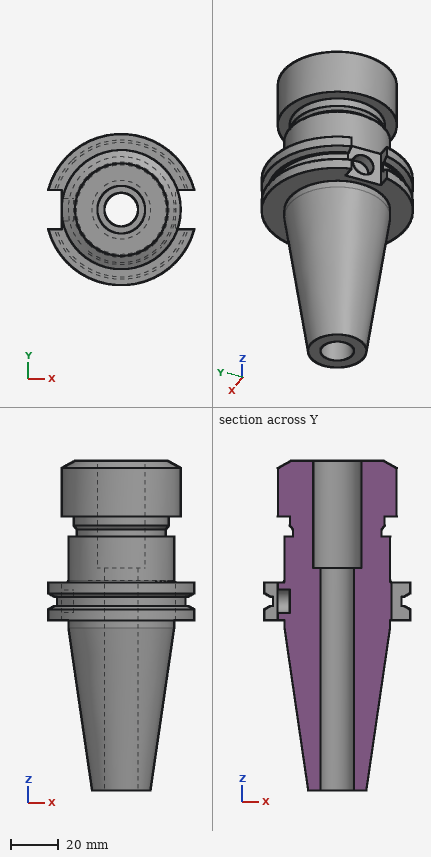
import cadquery as cq
import math


gauge_diameter = 44.45
shank_length = 68.25
taper_ratio = 7 / 24
shank_end_diameter = gauge_diameter - taper_ratio * shank_length

flange_diameter = 63.5
flange_bottom = 3.175
flange_width = 15.875
flange_top = flange_bottom + flange_width
groove_center = flange_bottom + flange_width / 2
groove_floor_diameter = 56.4
groove_shoulder_diameter = 58.4
groove_floor_width = 3.8
groove_flank_angle = 30
groove_flank_depth = (flange_diameter - groove_shoulder_diameter) / 2
groove_flank_width = groove_flank_depth * math.tan(math.radians(groove_flank_angle))
groove_floor_half = groove_floor_width / 2
groove_mouth_half = groove_floor_half + groove_flank_width

body_diameter = 44.45
body_top = 38.3
body_foot_radius = 0.8
neck_diameter = 37.5

projection = 70.1
nut_diameter = 50
nut_face_diameter = 38.8
nut_bevel_height = 3.1
nut_bottom = 46.6
nut_skirt_diameter = 40
nut_skirt_bottom = 42.8
nut_skirt_bevel_height = 1.5

through_diameter = 14
collet_bore_diameter = 20
collet_bore_depth = 45

slot_width = 16.38
deep_slot_floor = 22.8
shallow_slot_floor = 25
index_hole_diameter = 9.525
index_hole_depth = 5


def make_turned_body():
    """Revolve the outer half-profile, drawn from the shank end up to the nut face."""
    gauge_radius = gauge_diameter / 2
    flange_radius = flange_diameter / 2
    shoulder_radius = groove_shoulder_diameter / 2
    groove_radius = groove_floor_diameter / 2
    body_radius = body_diameter / 2
    neck_radius = neck_diameter / 2
    skirt_radius = nut_skirt_diameter / 2
    nut_radius = nut_diameter / 2
    return (
        cq.Workplane("XZ")
        .moveTo(0, -shank_length)
        .lineTo(shank_end_diameter / 2, -shank_length)
        .lineTo(gauge_radius, 0)
        .lineTo(gauge_radius, flange_bottom)
        .lineTo(flange_radius, flange_bottom)
        .lineTo(flange_radius, groove_center - groove_mouth_half)
        .lineTo(shoulder_radius, groove_center - groove_floor_half)
        .lineTo(groove_radius, groove_center - groove_floor_half)
        .lineTo(groove_radius, groove_center + groove_floor_half)
        .lineTo(shoulder_radius, groove_center + groove_floor_half)
        .lineTo(flange_radius, groove_center + groove_mouth_half)
        .lineTo(flange_radius, flange_top)
        .lineTo(body_radius + body_foot_radius, flange_top)
        .radiusArc((body_radius, flange_top + body_foot_radius), body_foot_radius)
        .lineTo(body_radius, body_top)
        .lineTo(neck_radius, body_top)
        .lineTo(neck_radius, nut_skirt_bottom - nut_skirt_bevel_height)
        .lineTo(skirt_radius, nut_skirt_bottom)
        .lineTo(skirt_radius, nut_bottom)
        .lineTo(nut_radius, nut_bottom)
        .lineTo(nut_radius, projection - nut_bevel_height)
        .lineTo(nut_face_diameter / 2, projection)
        .lineTo(0, projection)
        .close()
        .revolve(360, (0, 0), (0, 1))
    )


def cut_bores(part):
    """Bore the full length, then open the collet end to a larger diameter."""
    part = part.faces(">Z").workplane().circle(through_diameter / 2).cutThruAll()
    collet_bore = (
        cq.Workplane("XY", origin=(0, 0, projection))
        .circle(collet_bore_diameter / 2)
        .extrude(-collet_bore_depth)
    )
    return part.cut(collet_bore)


def make_drive_slot(side, floor):
    """Block that clears the flange beyond the slot floor; side is -1 or +1 along X."""
    depth = flange_diameter / 2 - floor
    center_x = side * (floor + depth / 2)
    return cq.Workplane("XY").box(depth, slot_width, flange_width).translate((center_x, 0, groove_center))


def make_index_hole():
    """Blind round hole sunk into the floor of the -X slot."""
    return (
        cq.Workplane("YZ", origin=(-shallow_slot_floor, 0, groove_center))
        .circle(index_hole_diameter / 2)
        .extrude(index_hole_depth)
    )


result = cut_bores(make_turned_body())
result = result.cut(make_drive_slot(-1, shallow_slot_floor))
result = result.cut(make_drive_slot(1, deep_slot_floor))
result = result.cut(make_index_hole())